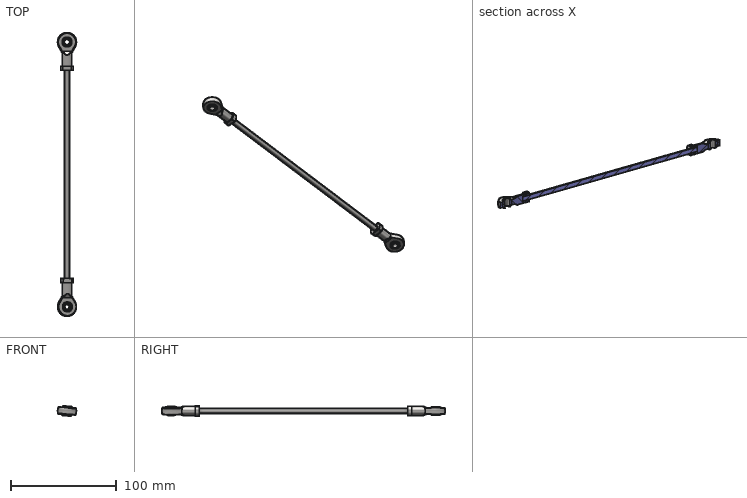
import cadquery as cq

total_length = 268.0
joint_rolls = {-1: 7.0, 1: 0.0}

head_diameter = 18.0
head_face_diameter = 16.5
head_thickness = 6.0
shank_diameter = 9.0
shank_end = 26.8
tangent_angle = 30.0
neck_side_length = 8.0
ramp_start = 8.8
ramp_end = 12.3

collar_diameter = 12.0
collar_flats = 9.0
collar_length = 4.0

ball_diameter = 11.0
ball_width = 8.0
ball_bore = 5.0

rod_diameter = 5.0
rod_insertion = 8.0

head_radius = head_diameter / 2
face_radius = head_face_diameter / 2
shank_radius = shank_diameter / 2
eye_offset = total_length / 2 - head_radius
collar_start = shank_end - collar_length
rod_length = 2 * (eye_offset - shank_end + rod_insertion)


def cylinder_along_y(diameter, start, length):
    """Round bar around the Y axis, from start toward +Y."""
    plane = cq.Workplane("XZ", origin=(0, start, 0))
    return plane.circle(diameter / 2).extrude(-length)


def rim_half_section():
    """Half section of the eye: flat faces and an outward-bulging rim."""
    half_head = head_thickness / 2
    return (
        cq.Workplane("XZ")
        .moveTo(0, -half_head)
        .lineTo(face_radius, -half_head)
        .threePointArc((head_radius, 0), (face_radius, half_head))
        .lineTo(0, half_head)
        .close()
    )


def make_eye():
    """Round eye with a barrel-shaped rim, widest at mid-thickness."""
    return rim_half_section().revolve(360, (0, 0, 0), (0, 1, 0))


def make_neck():
    """Two straight runs of the rim section, tangent to the eye and converging on the shank."""
    right_side = rim_half_section().extrude(-neck_side_length).rotate((0, 0, 0), (0, 0, 1), tangent_angle)
    return right_side.union(right_side.mirror("YZ"))


def make_shank():
    """Round shank whose front is tapered by ramps down to the head faces."""
    half_head = head_thickness / 2
    ramp_profile = (
        cq.Workplane("YZ")
        .moveTo(0, -half_head)
        .lineTo(ramp_start, -half_head)
        .lineTo(ramp_end, -shank_radius)
        .lineTo(collar_start, -shank_radius)
        .lineTo(collar_start, shank_radius)
        .lineTo(ramp_end, shank_radius)
        .lineTo(ramp_start, half_head)
        .lineTo(0, half_head)
        .close()
        .extrude(shank_radius, both=True)
    )
    return cylinder_along_y(shank_diameter, 0, collar_start).intersect(ramp_profile)


def make_ball_envelope():
    return cq.Workplane("XY").sphere(ball_diameter / 2)


def make_housing():
    """Rod-end housing with a spherical seat and a blind socket for the rod."""
    socket = cylinder_along_y(rod_diameter, shank_end - rod_insertion, rod_insertion)
    body = make_eye().union(make_neck()).union(make_shank())
    return body.cut(make_ball_envelope()).cut(socket)


def make_collar():
    """Round collar with two wrench flats, bored for the rod."""
    flats = cq.Workplane("XY").box(collar_diameter, 2 * shank_end, collar_flats)
    collar = cylinder_along_y(collar_diameter, collar_start, collar_length).intersect(flats)
    return collar.cut(cylinder_along_y(rod_diameter, collar_start, collar_length))


def make_ball():
    """Sphere cut flat on both faces, with a through bore."""
    slab = cq.Workplane("XY").box(ball_diameter, ball_diameter, ball_width)
    bore = cq.Workplane("XY").circle(ball_bore / 2).extrude(ball_width, both=True)
    return make_ball_envelope().intersect(slab).cut(bore)


def make_rod():
    return cylinder_along_y(rod_diameter, -rod_length / 2, rod_length)


def place_at_end(body, end, roll):
    """Roll a joint body about Y and move it to the -Y (-1) or +Y (+1) end."""
    rolled = body.rotate((0, 0, 0), (0, 1, 0), roll)
    facing = rolled if end < 0 else rolled.mirror("XZ")
    return facing.translate((0, end * eye_offset, 0))


rod = make_rod()
bodies = [rod.val()]
for end, roll in joint_rolls.items():
    for make_body in (make_housing, make_collar, make_ball):
        bodies.append(place_at_end(make_body(), end, roll).val())

result = cq.Compound.makeCompound(bodies)